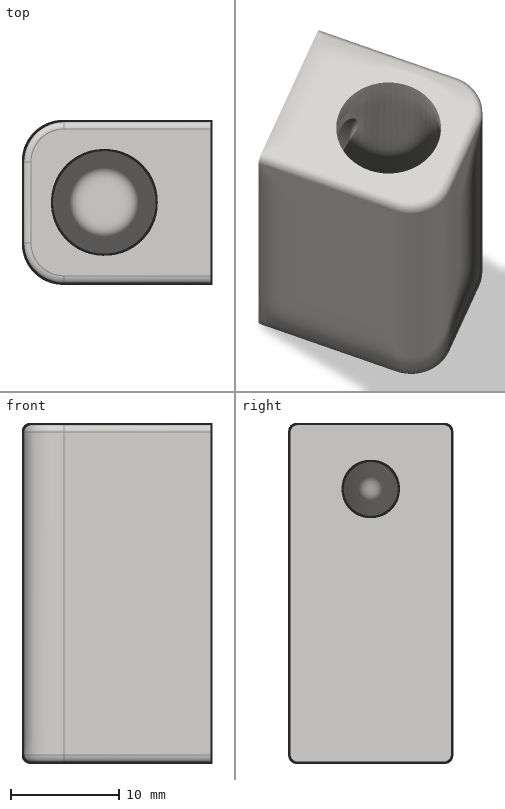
import cadquery as cq

length = 17.47
width = 15.1
height = 31.37
corner_radius = 3.8
rim_radius = 0.75

bore_diameter = 9.7
bore_x = width / 2
wall = (width - bore_diameter) / 2
bore_depth = height - wall

side_hole_diameter = 5.2
side_hole_drop = 6.02


def make_block():
    """Block with two rounded upright edges and a rolled rim, left sharp on the +X face."""
    block = cq.Workplane("XY").box(length, width, height, centered=(False, True, False))
    block = block.edges("|Z and <X").fillet(corner_radius)
    top_rim = block.faces(">Z").edges("not(>X)")
    bottom_rim = block.faces("<Z").edges("not(>X)")
    return block.newObject(top_rim.vals() + bottom_rim.vals()).fillet(rim_radius)


def make_bore():
    """Flat-bottomed bore entering from the top."""
    return (
        cq.Workplane("XY", origin=(bore_x, 0, height))
        .circle(bore_diameter / 2)
        .extrude(-bore_depth)
    )


def make_side_hole():
    """Round hole along X from the bore axis out through the +X face."""
    return (
        cq.Workplane("YZ", origin=(bore_x, 0, height - side_hole_drop))
        .circle(side_hole_diameter / 2)
        .extrude(length - bore_x)
    )


result = make_block().cut(make_bore()).cut(make_side_hole())